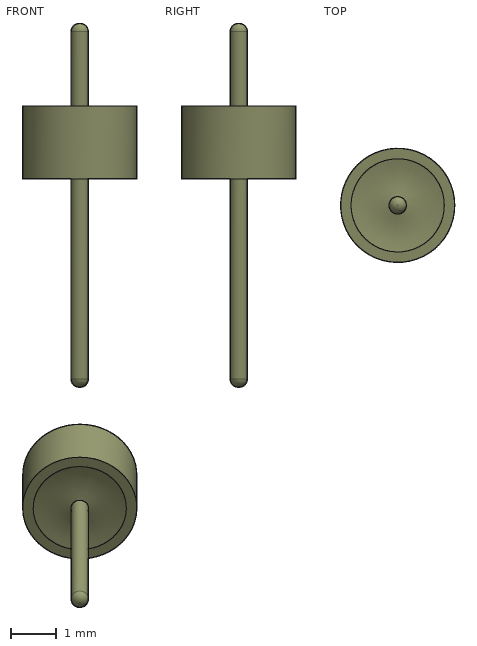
import cadquery as cq

pin_length = 7.96
pin_radius = 0.19
tip_rounding = 0.18

ring_radius = 1.25
ring_bore_radius = 1.02
ring_bottom = 4.56
ring_height = 1.59
ring_top = ring_bottom + ring_height

meniscus_depth = 0.05
meniscus_mid_radius = (pin_radius + ring_bore_radius) / 2


def make_pin():
    pin = cq.Workplane("XY").circle(pin_radius).extrude(pin_length)
    return pin.faces("<Z or >Z").edges().fillet(tip_rounding)


def make_ring():
    ring = cq.Workplane("XY").workplane(offset=ring_bottom)
    return ring.circle(ring_radius).circle(ring_bore_radius).extrude(ring_height)


def make_glass():
    section = (
        cq.Workplane("XZ")
        .moveTo(pin_radius, ring_bottom)
        .threePointArc((meniscus_mid_radius, ring_bottom + meniscus_depth), (ring_bore_radius, ring_bottom))
        .lineTo(ring_bore_radius, ring_top)
        .threePointArc((meniscus_mid_radius, ring_top - meniscus_depth), (pin_radius, ring_top))
        .close()
    )
    return section.revolve(360, (0, 0, 0), (0, 1, 0))


pin = make_pin()
ring = make_ring()
glass = make_glass()

result = cq.Compound.makeCompound([pin.val(), ring.val(), glass.val()])